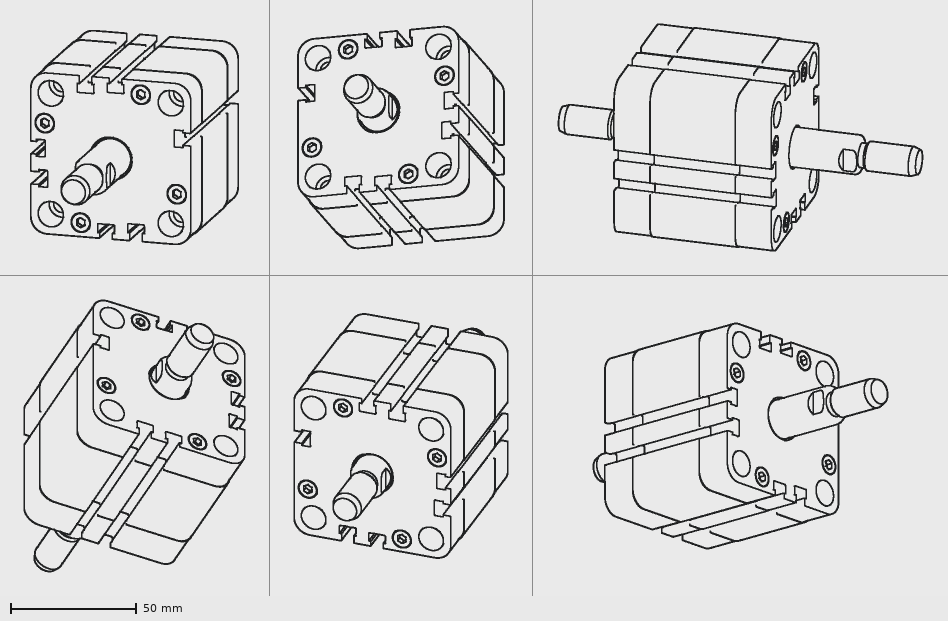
import cadquery as cq
import math


barrel_width = 67.0
cap_width = 66.7
cap_length = 15.0
barrel_length = 35.5
body_length = barrel_length + 2 * cap_length
cap_corner_radius = 6.75
barrel_corner_radius = 6.5

groove_mouth_width = 5.2
groove_head_width = 7.0
groove_head_height = 3.7
groove_head_radius = 0.5
groove_lip_radius = 0.4
deep_groove = (-10.5, 7.0)
shallow_groove = (2.0, 6.0)
side_turns = {
    "top": 0,
    "left": 90,
    "bottom": 180,
    "right": 270,
}
grooves = [
    ("top", deep_groove),
    ("top", shallow_groove),
    ("left", deep_groove),
    ("left", shallow_groove),
    ("bottom", deep_groove),
    ("bottom", shallow_groove),
    ("right", deep_groove),
]

mount_spacing = 50.0
mount_hole_diameter = 6.65
mount_counterbore_diameter = 10.5
mount_counterbore_depth = cap_length

screw_offset_along = 12.5
screw_offset_out = 27.5
screw_seat_diameter = 8.0
screw_head_diameter = 7.5
screw_head_height = 5.0
screw_socket_width = 3.5
screw_socket_depth = 2.5

rod_diameter = 16.0
rod_seal_diameter = 17.6
rod_seal_depth = 1.0
front_rod_length = 51.5
rear_rod_length = 31.5
thread_diameter = 12.0
thread_root_diameter = 10.0
thread_tip_angle = 20.0
shoulder_distance = 24.0
undercut_width = 2.25
shoulder_radius = 1.75
flat_spacing = 13.0
flat_length = 5.5

front_face = -body_length / 2
rear_face = body_length / 2


def section(y):
    """Sketch plane across the rod axis at height y, extruding toward +Y, with local x = X and y = -Z."""
    return cq.Workplane(cq.Plane(origin=(0, y, 0), xDir=(1, 0, 0), normal=(0, 1, 0)))


def disc(x, z, diameter, start, length):
    return section(start).center(x, -z).circle(diameter / 2).extrude(length)


def groove_cutter(offset, depth, half_width, start, length):
    """T groove in the top side; its mouth flares out with a rounded lip on either edge."""
    mouth = groove_mouth_width / 2
    floor = half_width - depth
    ceiling = floor + groove_head_height
    lip_bottom = half_width - groove_lip_radius
    flare = mouth + groove_lip_radius
    lip_mid = groove_lip_radius * (1 - math.sqrt(0.5))
    plane = cq.Plane(origin=(offset, start + length, 0), xDir=(1, 0, 0), normal=(0, -1, 0))
    channel = (
        cq.Workplane(plane)
        .moveTo(-flare, half_width)
        .threePointArc((-mouth - lip_mid, half_width - lip_mid), (-mouth, lip_bottom))
        .lineTo(-mouth, ceiling)
        .lineTo(mouth, ceiling)
        .lineTo(mouth, lip_bottom)
        .threePointArc((mouth + lip_mid, half_width - lip_mid), (flare, half_width))
        .close()
        .extrude(length)
    )
    head_slot = (
        cq.Workplane(plane)
        .center(0, floor + groove_head_height / 2)
        .rect(groove_head_width, groove_head_height)
        .extrude(length)
        .edges("|Y and <Z")
        .fillet(groove_head_radius)
    )
    return channel.union(head_slot)


def body_segment(start, length, width, corner_radius):
    segment = section(start).rect(width, width).extrude(length)
    segment = segment.edges("|Y").fillet(corner_radius)
    for side, (offset, depth) in grooves:
        cutter = groove_cutter(offset, depth, width / 2, start, length)
        turn = -side_turns[side]
        segment = segment.cut(cutter.rotate((0, 0, 0), (0, 1, 0), turn))
    return segment


def cut_mounting_holes(body):
    for x in (-mount_spacing / 2, mount_spacing / 2):
        for z in (-mount_spacing / 2, mount_spacing / 2):
            body = body.cut(disc(x, z, mount_hole_diameter, front_face, body_length))
            body = body.cut(disc(x, z, mount_counterbore_diameter, front_face, mount_counterbore_depth))
            body = body.cut(disc(x, z, mount_counterbore_diameter, rear_face, -mount_counterbore_depth))
    return body


def set_screws(body):
    """Four socket-head screws in each cap; a thin ring gap surrounds every head."""
    a = screw_offset_along
    b = screw_offset_out
    socket_corners = 2 * screw_socket_width / math.sqrt(3)
    for x, z in ((a, b), (-b, a), (-a, -b), (b, -a)):
        for face, inward in ((front_face, 1), (rear_face, -1)):
            seat = disc(x, z, screw_seat_diameter, face, inward * screw_head_height)
            head = disc(x, z, screw_head_diameter, face, inward * screw_head_height)
            socket = (
                section(face)
                .center(x, -z)
                .transformed(rotate=(0, 0, 90))
                .polygon(6, socket_corners)
                .extrude(inward * screw_socket_depth)
            )
            body = body.cut(seat.cut(head)).cut(socket)
    return body


def rod_end(face, outward, length):
    """Rod from the body centre to one threaded tip; outward is the sign of its Y direction."""
    tip = face + outward * length
    rod_radius = rod_diameter / 2
    thread_radius = thread_diameter / 2
    root_radius = thread_root_diameter / 2
    thread_depth = thread_radius - root_radius
    tip_chamfer = thread_depth / math.tan(math.radians(thread_tip_angle))
    undercut_end = shoulder_distance - undercut_width
    thread_end = undercut_end - thread_depth
    round_mid = shoulder_radius * (1 - math.sqrt(0.5))

    def at(radius, distance_from_tip):
        return (radius, tip - outward * distance_from_tip)

    rod = (
        cq.Workplane("XY")
        .moveTo(0, 0)
        .lineTo(rod_radius, 0)
        .lineTo(*at(rod_radius, shoulder_distance + shoulder_radius))
        .threePointArc(
            at(rod_radius - round_mid, shoulder_distance + round_mid),
            at(rod_radius - shoulder_radius, shoulder_distance),
        )
        .lineTo(*at(root_radius, shoulder_distance))
        .lineTo(*at(root_radius, undercut_end))
        .lineTo(*at(thread_radius, thread_end))
        .lineTo(*at(thread_radius, tip_chamfer))
        .lineTo(*at(root_radius, 0))
        .lineTo(*at(0, 0))
        .close()
        .revolve(360, (0, 0, 0), (0, 1, 0))
    )
    flat = flat_spacing / 2
    flat_depth = rod_radius - flat
    flat_end = shoulder_distance + flat_length
    for side in (-1, 1):
        wedge = (
            cq.Workplane("XY")
            .polyline([
                at(side * flat, shoulder_distance),
                at(side * flat, flat_end),
                at(side * rod_radius, flat_end + flat_depth),
                at(side * rod_radius, shoulder_distance),
            ])
            .close()
            .extrude(rod_radius, both=True)
        )
        rod = rod.cut(wedge)
    return rod


front_cap = body_segment(front_face, cap_length, cap_width, cap_corner_radius)
barrel = body_segment(front_face + cap_length, barrel_length, barrel_width, barrel_corner_radius)
rear_cap = body_segment(rear_face - cap_length, cap_length, cap_width, cap_corner_radius)

body = front_cap.union(barrel).union(rear_cap)
body = cut_mounting_holes(body)
body = set_screws(body)
body = body.cut(disc(0, 0, rod_seal_diameter, front_face, rod_seal_depth))
body = body.cut(disc(0, 0, rod_seal_diameter, rear_face, -rod_seal_depth))

front_rod = rod_end(front_face, -1, front_rod_length)
rear_rod = rod_end(rear_face, 1, rear_rod_length)
result = body.union(front_rod).union(rear_rod)